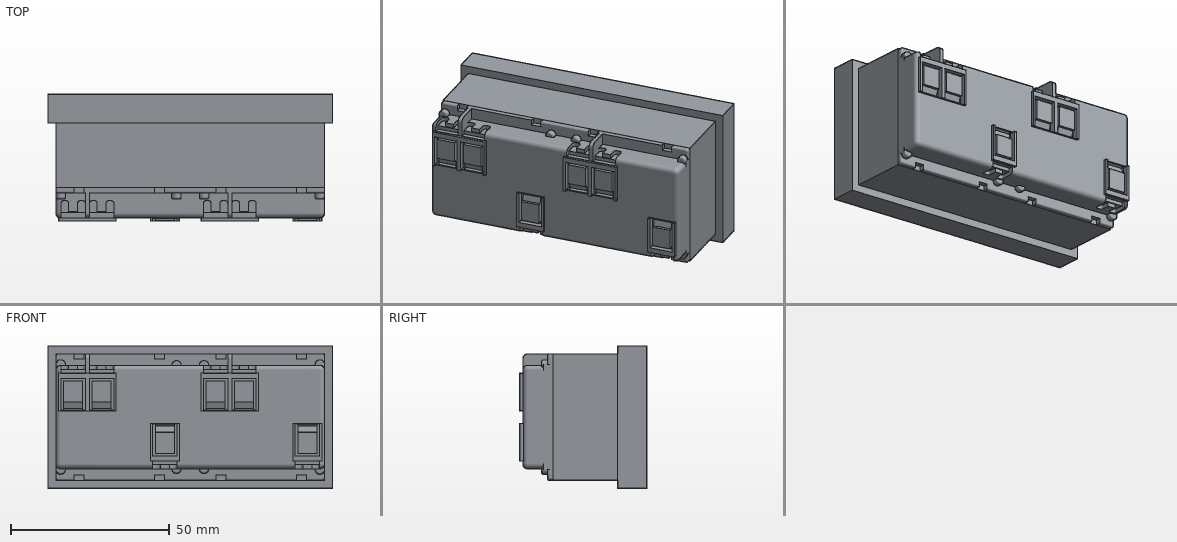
import cadquery as cq


bezel_width = 90.0
bezel_height = 45.0
bezel_depth = 9.2

housing_width = 84.9
housing_height = 40.0
seam_y = -29.6

flange_thickness = 1.7
flange_corner_radius = 0.8
flange_edge_radius = 0.5
cover_box_height = 32.7
cover_edge_radius = 1.5
rear_y = -39.15
overall_depth = 40.15
flange_y = seam_y - flange_thickness
flange_top = housing_height / 2
box_top = cover_box_height / 2

notch_width = 3.1
notch_depth = 1.7
notch_xs = (-35.2, -9.75, 9.75, 35.2)

pin_radius = 1.5
pin_height = 1.9
pin_tip_radius = 0.55
corner_pin_x = housing_width / 2 - pin_radius
inner_pin_x = 4.35
inner_pin_z = box_top
corner_pin_z = box_top + 0.25

repeat_pitch = 45.0
cell_pitch = 9.0
double_x = -32.5
single_x = -8.0
frame_margin = 0.1
frame_outer_z = 13.9
frame_inner_z = 2.0
cell_width = 7.7
cell_outer_z = 12.25
cell_inner_z = 2.25
sill_height = 0.1
cell_floor_y = rear_y + 1.0
clamp_width = 6.0
clamp_outer_z = 11.45
clamp_step_z = 4.8
clamp_step_run = 0.1
groove_z = 2.75
clamp_face_y = rear_y - 0.75
groove_y = rear_y + 0.65

entry_floor_z = 15.0
entry_sill_z = frame_outer_z - 0.1
entry_front_y = -37.4
tongue_end_y = -37.1
slot_end_y = -33.7
slot_width = 2.45
slot_corner_radius = 0.8

rib_width = cell_pitch - cell_width
rib_corner_radius = 1.6


def block(x_center, width, y_range, z_range):
    """A box centred on x_center that fills the given Y and Z ranges."""
    y_low, y_high = sorted(y_range)
    z_low, z_high = sorted(z_range)
    base = cq.Workplane("XY", origin=(x_center, y_low, z_low))
    return base.box(width, y_high - y_low, z_high - z_low, centered=(True, False, False))


def make_bezel():
    half = bezel_height / 2
    return block(0, bezel_width, (0, -bezel_depth), (-half, half))


def make_housing():
    half = housing_height / 2
    return block(0, housing_width, (-bezel_depth, seam_y), (-half, half))


def make_flange():
    flange = block(0, housing_width, (seam_y, flange_y), (-flange_top, flange_top))
    flange = flange.edges("|Y").fillet(flange_corner_radius)
    flange = flange.faces("<Y").edges().fillet(flange_edge_radius)
    for left, right in (notch_xs[0:2], notch_xs[2:4]):
        sharp_edge = block(
            (left + right) / 2,
            right - left,
            (seam_y, flange_y),
            (flange_top - notch_depth, flange_top),
        )
        flange = flange.union(sharp_edge)
    for side in (1, -1):
        for x in notch_xs:
            z_range = (side * flange_top, side * (flange_top - notch_depth))
            flange = flange.cut(block(x, notch_width, (seam_y, flange_y), z_range))
    return flange


def make_raised_box():
    box = block(0, housing_width, (seam_y, rear_y), (-box_top, box_top))
    return box.edges("|Y or <Y").fillet(cover_edge_radius)


def make_pin(x, z):
    pin = cq.Workplane("XZ", origin=(x, flange_y, z)).circle(pin_radius).extrude(pin_height)
    return pin.faces("<Y").edges().fillet(pin_tip_radius)


def make_corner_pad(x_side, z_side):
    """Square corner that joins a corner pin to the flat side of the raised box."""
    half_width = housing_width / 2
    pad_x = x_side * (half_width - cover_edge_radius / 2)
    z_range = (z_side * (box_top - cover_edge_radius), z_side * corner_pin_z)
    return block(pad_x, cover_edge_radius, (seam_y, flange_y - pin_height + pin_tip_radius), z_range)


def make_rib(x):
    rib = block(x, rib_width, (seam_y, rear_y), (frame_outer_z, flange_top))
    return rib.edges("<Y and >Z").fillet(rib_corner_radius)


def make_frame(cells, side):
    x_center = (cells[0] + cells[-1]) / 2
    width = len(cells) * cell_pitch + 2 * frame_margin
    z_range = (side * frame_inner_z, side * frame_outer_z)
    return block(x_center, width, (rear_y + cover_edge_radius, -overall_depth), z_range)


def make_cell_opening(x, side):
    """Recess for a clamp; above its low sill it is open toward the middle of the cover."""
    recess_z = (side * cell_inner_z, side * cell_outer_z)
    recess = block(x, cell_width, (cell_floor_y, -overall_depth), recess_z)
    open_end_z = (side * frame_inner_z, side * cell_inner_z)
    open_end = block(x, cell_width, (rear_y - sill_height, -overall_depth), open_end_z)
    return recess.union(open_end)


def make_clamp(x, side):
    """Raised clamp face, then a step down to a V groove at the inner end."""
    profile = [
        (cell_floor_y, side * clamp_outer_z),
        (clamp_face_y, side * clamp_outer_z),
        (clamp_face_y, side * clamp_step_z),
        (rear_y, side * (clamp_step_z - clamp_step_run)),
        (groove_y, side * groove_z),
        (rear_y, side * cell_inner_z),
        (cell_floor_y, side * cell_inner_z),
    ]
    clamp = cq.Workplane("YZ").polyline(profile).close().extrude(clamp_width / 2, both=True)
    return clamp.translate((x, 0, 0))


def make_wire_entry(x, side):
    """Two round-ended slots that run into a full-width opening behind the frame."""
    entry = block(x, cell_width, (entry_front_y, rear_y), (side * entry_sill_z, side * box_top))
    ledge = block(x, cell_width, (tongue_end_y, rear_y), (side * entry_floor_z, side * box_top))
    entry = entry.union(ledge)
    for end in (1, -1):
        slot_x = x + end * (cell_width - slot_width) / 2
        slot = block(slot_x, slot_width, (slot_end_y, rear_y), (side * entry_floor_z, side * box_top))
        entry = entry.union(slot.edges("|Z and >Y").fillet(slot_corner_radius))
    return entry


def make_cover():
    cover = make_flange().union(make_raised_box())
    for x_side in (1, -1):
        for z_side in (1, -1):
            cover = cover.union(make_pin(x_side * inner_pin_x, z_side * inner_pin_z))
            cover = cover.union(make_corner_pad(x_side, z_side))
            cover = cover.union(make_pin(x_side * corner_pin_x, z_side * corner_pin_z))
    for offset in (0, repeat_pitch):
        rib_x = double_x + offset
        double_cells = (rib_x - cell_pitch / 2, rib_x + cell_pitch / 2)
        single_cells = (single_x + offset,)
        for cells, side in ((double_cells, 1), (single_cells, -1)):
            cover = cover.union(make_frame(cells, side))
            for x in cells:
                cover = cover.cut(make_wire_entry(x, side))
                cover = cover.cut(make_cell_opening(x, side))
                cover = cover.union(make_clamp(x, side))
        cover = cover.union(make_rib(rib_x))
    return cover


bezel = make_bezel()
housing = make_housing()
cover = make_cover()

result = cq.Compound.makeCompound([bezel.val(), housing.val(), cover.val()])